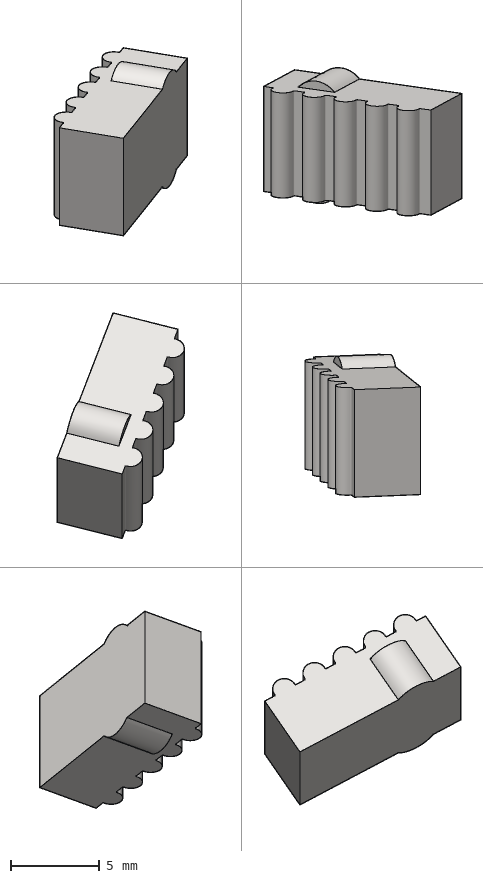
import cadquery as cq

depth = 3.85
length = 10.65
height = 6.2

rib_count = 5
rib_pitch = 2.0
rib_radius = 0.66
rib_reach = 0.77
first_rib_inset = 1.28
root_fillet = 0.05

boss_radius = 1.6
boss_rise = 0.5
boss_length = 3.1
boss_inset = 2.97

front_x = -depth / 2
back_x = depth / 2
end_y = length / 2
rib_straight = rib_reach - rib_radius


def ribbed_block():
    """Extrude the block outline, with its ribs and their root fillets."""
    root_x = front_x - root_fillet
    arc_x = front_x - rib_straight
    tip_x = front_x - rib_reach
    outline = cq.Workplane("XY").moveTo(back_x, -end_y).lineTo(back_x, end_y).lineTo(front_x, end_y)
    for index in range(rib_count):
        center_y = end_y - first_rib_inset - index * rib_pitch
        upper_y = center_y + rib_radius
        lower_y = center_y - rib_radius
        outline = (
            outline.lineTo(front_x, upper_y + root_fillet)
            .radiusArc((root_x, upper_y), root_fillet)
            .lineTo(arc_x, upper_y)
            .threePointArc((tip_x, center_y), (arc_x, lower_y))
            .lineTo(root_x, lower_y)
            .radiusArc((front_x, lower_y - root_fillet), root_fillet)
        )
    outline = outline.lineTo(front_x, -end_y).close()
    return outline.extrude(height / 2, both=True)


def boss_cylinder(side):
    """Make the cylinder whose crown rises above (+1) or below (-1) the block."""
    axis_z = side * (height / 2 + boss_rise - boss_radius)
    return (
        cq.Workplane("YZ", origin=(back_x - boss_length, end_y - boss_inset, axis_z))
        .circle(boss_radius)
        .extrude(boss_length)
    )


result = ribbed_block()
for side in (1, -1):
    result = result.union(boss_cylinder(side))